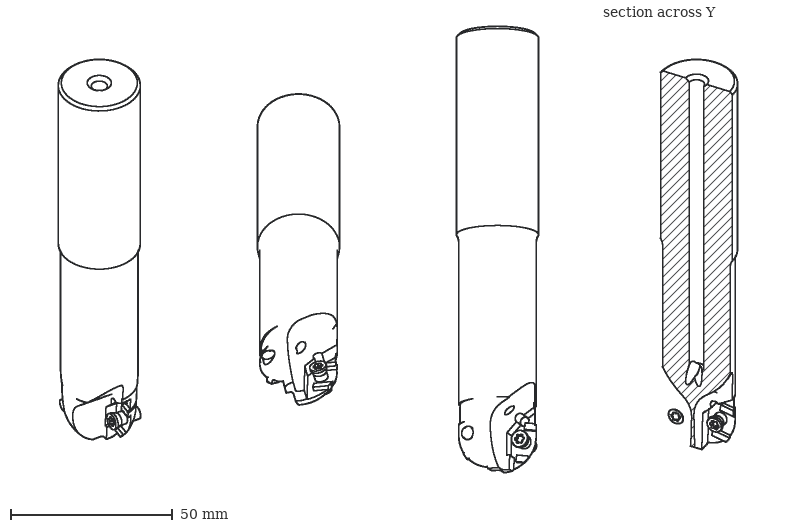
import cadquery as cq
import math

TOTAL_LENGTH = 138.3
SHANK_RADIUS = 12.7
SHANK_CHAMFER = 1.0
SHANK_BOTTOM = 74.8
NECK_TOP = 72.7
NECK_RADIUS = 12.0
SHOULDER_SAG = 0.1

BALL_CENTRE_Z = 11.2
TIP_FLAT_RADIUS = math.sqrt(NECK_RADIUS**2 - BALL_CENTRE_Z**2)

GROOVE_RADIUS = 11.6
GROOVE_BOTTOM = 14.2
GROOVE_TOP = 20.7

RELIEF_RADIUS = 13.7
RELIEF_OFFSET = 2.8
RELIEF_CENTRE_Z = 12.0
RELIEF_LENGTH = 27.7
RELIEF_TOP = 33.2
RELIEF_LEAN = 3.6

LEAN = 2.4
FLUTE_FLOOR = 0.1
FLUTE_FILLET = 0.8
SEAT_DEPTH = 3.9
SEAT_WALL = 2.9
SEAT_SLOPE_START = 11.8
SEAT_TOP = (13.8, 20.5)
SEAT_RELIEF_RADIUS = 1.5
SEAT_RELIEF = (7.0, 16.0)
SEAT_RELIEF_DEPTH = 0.7
STEP_WIDTH = 1.0
STEP_TOP = 4.5
BELOW_TIP = -4.1
REACH = 16.6

RIB_SLOPE = -10.0
RIB_HEIGHT = 1.4
RIB_WIDTH = 2.1
RIB_STARTS = ((7.7, 14.1), (5.1, 4.0))

SCREW_PLACE = (7.3, 9.3)
SCREW_RADIUS = 2.1
SCREW_DEPTH = 4.8
SCREW_HEAD_RADIUS = 2.6
SCREW_HEAD_TOP = 4.5
SCREW_HEAD_RIM = 0.8
SCREW_HEAD_CONE = 1.7
SOCKET_RADIUS = 1.1
SOCKET_LOBE_RADIUS = 0.4
SOCKET_DEPTH = 1.4
SOCKET_LOBES = 6

BORE_RADIUS = 2.5
BORE_MOUTH_RADIUS = 3.7
BORE_BOTTOM = 30.4
BRANCH_RADIUS = 1.7
BRANCH_TOP = 33.2
BRANCH_OVERRUN = 1.8

SIDES = (
    dict(
        turn=0,
        seat_shift=(0, 0),
        stepped=True,
        flute_foot=(1.8, 11.5),
        flute_ends=((5.0, 18.1), (12.7, 28.1)),
        coolant_exit=(5.0, -2.5, 18.0),
    ),
    dict(
        turn=180,
        seat_shift=(-1.1, 1.4),
        stepped=False,
        flute_foot=(-0.8, 12.5),
        flute_ends=((3.6, 21.2), (12.7, 34.0)),
        coolant_exit=(1.2, -2.5, 19.1),
    ),
)


def leaning_plane(floor):
    """Plane whose Y rises by the lean and whose normal points out of the flute."""
    lean = math.radians(LEAN)
    return cq.Plane((0, floor, 0), (1, 0, 0), (0, -math.cos(lean), math.sin(lean)))


def seat_plane(shift):
    """Floor plane of a seat, with its origin moved along the floor by the seat's shift."""
    floor = leaning_plane(FLUTE_FLOOR + SEAT_DEPTH)
    floor.origin = floor.toWorldCoords(shift)
    return floor


def turned(shape, angle):
    return shape.rotate((0, 0, 0), (0, 0, 1), angle)


def turned_blank():
    """Shank, neck and ball nose, with the revolve starting on the -Y side."""
    chord_x = (SHANK_RADIUS + NECK_RADIUS) / 2
    chord_z = (SHANK_BOTTOM + NECK_TOP) / 2
    ball_mid_z = BALL_CENTRE_Z - NECK_RADIUS * math.sqrt(0.5)
    blank = (
        cq.Workplane("XZ")
        .lineTo(TIP_FLAT_RADIUS, 0)
        .threePointArc(
            (NECK_RADIUS * math.sqrt(0.5), ball_mid_z),
            (NECK_RADIUS, BALL_CENTRE_Z),
        )
        .lineTo(NECK_RADIUS, GROOVE_BOTTOM)
        .lineTo(GROOVE_RADIUS, GROOVE_BOTTOM)
        .lineTo(GROOVE_RADIUS, GROOVE_TOP)
        .lineTo(NECK_RADIUS, GROOVE_TOP)
        .lineTo(NECK_RADIUS, NECK_TOP)
        .threePointArc((chord_x - SHOULDER_SAG, chord_z), (SHANK_RADIUS, SHANK_BOTTOM))
        .lineTo(SHANK_RADIUS, TOTAL_LENGTH - SHANK_CHAMFER)
        .lineTo(SHANK_RADIUS - SHANK_CHAMFER, TOTAL_LENGTH)
        .lineTo(0, TOTAL_LENGTH)
        .close()
        .revolve(360, (0, 0, 0), (0, 1, 0))
    )
    return turned(blank, -90)


def flank_relief():
    """Material outside the leaning round-ended cylinder, on the -Y half."""
    kept = (
        cq.Workplane("XY")
        .circle(RELIEF_RADIUS)
        .extrude(RELIEF_LENGTH)
        .union(cq.Workplane("XY").sphere(RELIEF_RADIUS))
        .rotate((0, 0, 0), (1, 0, 0), RELIEF_LEAN)
        .translate((0, RELIEF_OFFSET, RELIEF_CENTRE_Z))
    )
    half = cq.Workplane("XY").box(2 * REACH, REACH, RELIEF_TOP, centered=(True, False, False))
    return half.translate((0, -REACH, 0)).cut(kept)


def flute(foot, arc_ends):
    """Open chip space with a rounded corner between its wall and its floor."""
    outline = cq.Workplane(leaning_plane(FLUTE_FLOOR)).moveTo(foot[0], BELOW_TIP).lineTo(*foot)
    for end in arc_ends:
        outline = outline.tangentArcPoint(end, relative=False)
    top_z = arc_ends[-1][1]
    space = outline.lineTo(REACH, top_z).lineTo(REACH, BELOW_TIP).close().extrude(REACH)
    return space.faces(">Y").edges("not (>X or <Z or >Z)").fillet(FLUTE_FILLET)


def seat(plane, stepped):
    """Insert pocket with a round corner relief and locating ribs left on its floor."""
    pocket = (
        cq.Workplane(plane)
        .polyline([
            (SEAT_WALL, BELOW_TIP), (SEAT_WALL, SEAT_SLOPE_START), SEAT_RELIEF,
            SEAT_TOP, (REACH, SEAT_TOP[1]), (REACH, BELOW_TIP),
        ])
        .close()
        .extrude(REACH)
    )
    corner = (
        cq.Workplane(plane)
        .workplane(offset=-SEAT_RELIEF_DEPTH)
        .center(*SEAT_RELIEF)
        .circle(SEAT_RELIEF_RADIUS)
        .extrude(REACH)
    )
    pocket = pocket.union(corner)
    if stepped:
        step = (
            cq.Workplane(plane)
            .center(SEAT_WALL, STEP_TOP)
            .rect(STEP_WIDTH, BELOW_TIP - STEP_TOP, centered=False)
            .extrude(REACH)
        )
        pocket = pocket.cut(step)
    for start in RIB_STARTS:
        rib = (
            cq.Workplane(plane)
            .center(*start)
            .transformed(rotate=(0, 0, RIB_SLOPE))
            .rect(REACH, RIB_WIDTH, centered=(False, True))
            .extrude(RIB_HEIGHT)
        )
        pocket = pocket.cut(rib)
    return pocket


def coolant_bore():
    mouth_depth = BORE_MOUTH_RADIUS - BORE_RADIUS
    return (
        cq.Workplane("XZ")
        .moveTo(0, BORE_BOTTOM)
        .lineTo(BORE_RADIUS, BORE_BOTTOM)
        .lineTo(BORE_RADIUS, TOTAL_LENGTH - mouth_depth)
        .lineTo(BORE_MOUTH_RADIUS, TOTAL_LENGTH)
        .lineTo(0, TOTAL_LENGTH)
        .close()
        .revolve(360, (0, 0, 0), (0, 1, 0))
    )


def coolant_branch(outlet):
    start = cq.Vector(0, 0, BRANCH_TOP)
    path = cq.Vector(*outlet) - start
    branch = cq.Solid.makeCylinder(BRANCH_RADIUS, path.Length + BRANCH_OVERRUN, start, path)
    return cq.Workplane(obj=branch)


def screw_hole(plane):
    return cq.Workplane(plane).center(*SCREW_PLACE).circle(SCREW_RADIUS).extrude(-REACH)


def make_holder():
    holder = turned_blank().cut(coolant_bore())
    for side in SIDES:
        plane = seat_plane(side["seat_shift"])
        cutters = (
            flank_relief(),
            flute(side["flute_foot"], side["flute_ends"]),
            seat(plane, side["stepped"]),
            screw_hole(plane),
            coolant_branch(side["coolant_exit"]),
        )
        for cutter in cutters:
            holder = holder.cut(turned(cutter, side["turn"]))
    return holder.solids()


def make_screw(plane):
    """Countersunk screw with a six-lobed socket."""
    rim_z = SCREW_HEAD_TOP - SCREW_HEAD_RIM
    screw = (
        cq.Workplane("XZ")
        .moveTo(0, -SCREW_DEPTH)
        .lineTo(SCREW_RADIUS, -SCREW_DEPTH)
        .lineTo(SCREW_RADIUS, rim_z - SCREW_HEAD_CONE)
        .lineTo(SCREW_HEAD_RADIUS, rim_z)
        .lineTo(SCREW_HEAD_RADIUS, SCREW_HEAD_TOP)
        .lineTo(0, SCREW_HEAD_TOP)
        .close()
        .revolve(360, (0, 0, 0), (0, 1, 0))
    )
    socket_floor = cq.Workplane("XY", origin=(0, 0, SCREW_HEAD_TOP - SOCKET_DEPTH))
    socket = socket_floor.circle(SOCKET_RADIUS).extrude(SOCKET_DEPTH)
    lobes = (
        socket_floor
        .polarArray(SOCKET_RADIUS, 0, 360, SOCKET_LOBES)
        .circle(SOCKET_LOBE_RADIUS)
        .extrude(SOCKET_DEPTH)
    )
    screw = screw.cut(socket.union(lobes)).solids()
    return screw.val().moved(cq.Location(cq.Workplane(plane).center(*SCREW_PLACE).plane))


holder = make_holder()
screws = [turned(make_screw(seat_plane(side["seat_shift"])), side["turn"]) for side in SIDES]
result = cq.Compound.makeCompound([holder.val(), *screws])